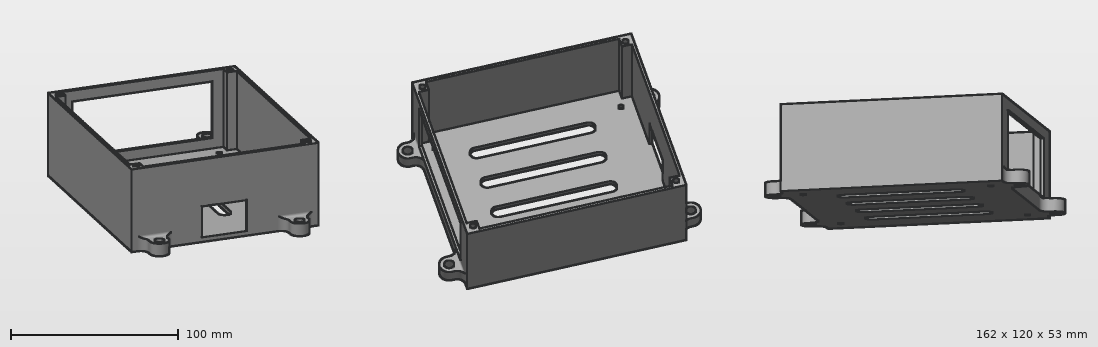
import cadquery as cq

total_length = 162.0
box_length = 136.0
box_width = 120.0
box_height = 53.0
wall = 2.0
floor_thickness = 3.0

post_size = 8.1
screw_x = 63.0
screw_y = 55.0
screw_diameter = 3.7
screw_depth = 19.5
drill_tip_depth = 1.1

front_opening_width = 90.0
front_opening_bottom = 9.7
front_opening_top = 45.8
window_width = 29.0
window_center_y = -0.5
window_top = 22.8

slot_length = 78.0
slot_width = 8.1
slot_pitch = 23.3
slot_count = 4
slot_center_y = 1.0
board_hole_diameter = 3.2
board_holes = [(-57.7, 46.0), (57.7, 46.0), (-57.7, -46.2), (57.2, -46.2)]

ear_radius = 6.0
ear_hole_diameter = 6.0
ear_height = 8.1
ear_y = 45.0
ear_side_fillet = 5.0
ear_top_fillet = 1.6

half_length = box_length / 2
ear_x = total_length / 2 - ear_radius


def make_box():
    """Box shell with a square post in each inner corner."""
    box = cq.Workplane("XY").box(box_length, box_width, box_height, centered=(True, True, False))
    cavity = (
        cq.Workplane("XY", origin=(0, 0, floor_thickness))
        .rect(box_length - 2 * wall, box_width - 2 * wall)
        .extrude(box_height)
    )
    posts = (
        cq.Workplane("XY")
        .rect(box_length - post_size, box_width - post_size, forConstruction=True)
        .vertices()
        .rect(post_size, post_size)
        .extrude(box_height)
    )
    return box.cut(cavity).union(posts)


def make_screw_hole(x, y):
    """Cutter for a blind hole with a conical bottom."""
    radius = screw_diameter / 2
    profile = (
        cq.Workplane("XZ", origin=(x, y, box_height))
        .lineTo(radius, 0)
        .lineTo(radius, -screw_depth)
        .lineTo(0, -screw_depth - drill_tip_depth)
        .close()
    )
    return profile.revolve(360, (0, 0, 0), (0, 1, 0))


def make_ear(y):
    """Ear on the +X end wall, flared into the wall at its sides and filleted on top."""
    flare_x = half_length - ear_x
    root_half_width = ear_radius + ear_side_fillet
    arc_start = flare_x + ear_side_fillet
    arc_offset = ear_side_fillet * (1 - 0.5 ** 0.5)
    full_height = ear_height + ear_top_fillet
    ear = (
        cq.Workplane("XY", origin=(ear_x, y, 0))
        .moveTo(flare_x, -root_half_width)
        .threePointArc((flare_x + arc_offset, -ear_radius - arc_offset), (arc_start, -ear_radius))
        .lineTo(0, -ear_radius)
        .threePointArc((ear_radius, 0), (0, ear_radius))
        .lineTo(arc_start, ear_radius)
        .threePointArc((flare_x + arc_offset, ear_radius + arc_offset), (flare_x, root_half_width))
        .close()
        .extrude(full_height)
    )
    fillet_offset = ear_top_fillet * (1 - 0.5 ** 0.5)
    top_relief = (
        cq.Workplane("XZ", origin=(half_length, y, 0))
        .moveTo(0, full_height)
        .threePointArc((fillet_offset, ear_height + fillet_offset), (ear_top_fillet, ear_height))
        .lineTo(total_length / 2, ear_height)
        .lineTo(total_length / 2, full_height)
        .close()
        .extrude(root_half_width, both=True)
    )
    hole = cq.Workplane("XY", origin=(ear_x, y, 0)).circle(ear_hole_diameter / 2).extrude(full_height)
    return ear.cut(top_relief).cut(hole)


def make_end_opening(wall_x, center_y, width, bottom, top):
    """Rectangular cutter through the end wall whose mid-plane is at wall_x."""
    return cq.Workplane("XY", origin=(wall_x, center_y, bottom)).box(
        2 * wall, width, top - bottom, centered=(True, True, False)
    )


body = make_box()

for x in (-screw_x, screw_x):
    for y in (-screw_y, screw_y):
        body = body.cut(make_screw_hole(x, y))

wall_mid_x = half_length - wall / 2
body = body.cut(
    make_end_opening(-wall_mid_x, 0, front_opening_width, front_opening_bottom, front_opening_top)
)
body = body.cut(make_end_opening(wall_mid_x, window_center_y, window_width, floor_thickness, window_top))

slots = (
    cq.Workplane("XY", origin=(0, slot_center_y, 0))
    .rarray(1.6, slot_pitch, 1, slot_count)
    .slot2D(slot_length, slot_width)
    .extrude(floor_thickness)
)
board_hole_cutters = (
    cq.Workplane("XY").pushPoints(board_holes).circle(board_hole_diameter / 2).extrude(floor_thickness)
)
body = body.cut(slots).cut(board_hole_cutters)

for y in (-ear_y, ear_y):
    ear = make_ear(y)
    body = body.union(ear).union(ear.mirror("YZ"))

result = body